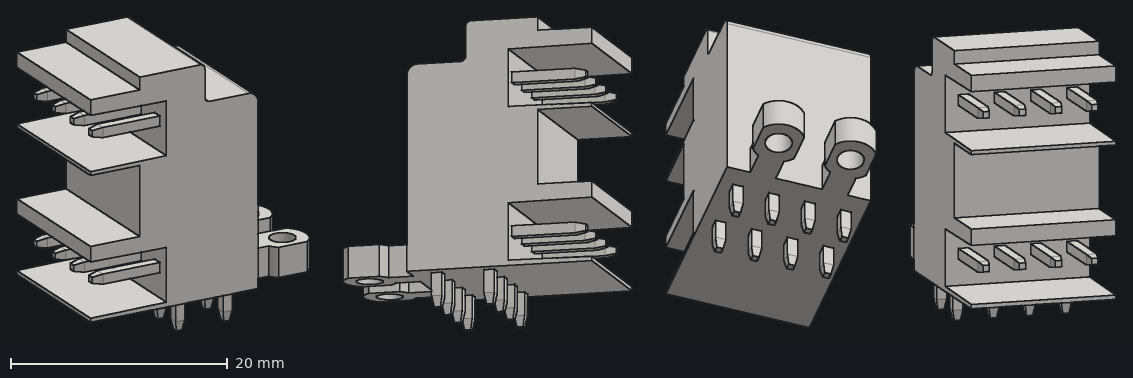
import cadquery as cq


pole_count = 4
pole_pitch = 3.5
tier_pitch = 14.5

housing_width = pole_count * pole_pitch
housing_height = 23.3
back_y = 17.7
upper_back_y = 12.08
ledge_z = 19.5
step_y = 5.2
back_edge_radius = 1.0
step_radius = 0.5

cavity_floor_y = 8.0
lip_top_z = 0.42
roof_bottom_z = 6.0
roof_top_z = 7.53
cavity_draft = 0.08
upper_lip_bottom_z = 14.55

lug_spacing = 2 * pole_pitch
lug_height = 3.02
lug_radius = 2.5
lug_head_width = 4.0
lug_neck_width = 2.5
lug_hole_diameter = 2.5
lug_center_y = 22.2

pin_size = 1.0
pin_tip_size = 0.6
contact_tip_y = 0.98
contact_taper = 1.0
contact_z = 3.5
tail_length = 3.2
tail_taper = 1.05
tail_row_pitch = 5.0
lower_tail_y = 10.18
upper_tail_y = lower_tail_y + tail_row_pitch

pole_positions = [(i - (pole_count - 1) / 2) * pole_pitch for i in range(pole_count)]


def extrude_across(profile, width):
    """Extrude a closed YZ profile to a width centred on X = 0."""
    return profile.extrude(width / 2, both=True)


def make_block():
    """Stepped block with rounded edges along its back."""
    outline = (
        cq.Workplane("YZ")
        .polyline([
            (0, 0),
            (back_y, 0),
            (back_y, ledge_z),
            (upper_back_y, ledge_z),
            (upper_back_y, housing_height),
            (0, housing_height),
        ])
        .close()
    )
    block = extrude_across(outline, housing_width)
    block = block.edges(cq.selectors.NearestToPointSelector((0, back_y, ledge_z))).fillet(back_edge_radius)
    for corner_z in (ledge_z, housing_height):
        corner = cq.selectors.NearestToPointSelector((0, upper_back_y, corner_z))
        block = block.edges(corner).fillet(step_radius)
    return block


def make_front_recess(bottom_z, top_z):
    """Space in front of the set-back face."""
    return cq.Workplane("XY").box(
        housing_width, step_y, top_z - bottom_z, centered=(True, False, False)
    ).translate((0, 0, bottom_z))


def make_cavity(tier_z):
    """Plug cavity, open at both ends, with slightly drafted walls."""
    outline = (
        cq.Workplane("YZ")
        .polyline([
            (0, tier_z + lip_top_z),
            (cavity_floor_y, tier_z + lip_top_z + cavity_draft),
            (cavity_floor_y, tier_z + roof_bottom_z - cavity_draft),
            (0, tier_z + roof_bottom_z),
        ])
        .close()
    )
    return extrude_across(outline, housing_width)


def make_lug(x):
    """Screw lug: a round head with flattened sides on a straight neck."""
    head = cq.Workplane("XY").circle(lug_radius).extrude(lug_height)
    head = head.intersect(cq.Workplane("XY").rect(lug_head_width, 2 * lug_radius).extrude(lug_height))
    neck_length = lug_center_y - back_y
    neck = cq.Workplane("XY").center(0, -neck_length / 2).rect(lug_neck_width, neck_length).extrude(lug_height)
    hole = cq.Workplane("XY").circle(lug_hole_diameter / 2).extrude(lug_height)
    return head.union(neck).cut(hole).translate((x, lug_center_y, 0))


def make_taper(length):
    """Square pin end along +Z, narrowing from the full section to the tip."""
    return (
        cq.Workplane("XY")
        .rect(pin_size, pin_size)
        .workplane(offset=length)
        .rect(pin_tip_size, pin_tip_size)
        .loft(ruled=True)
    )


def make_pin(x, axis_z, tail_y):
    """Right-angle pin: a contact along Y, bent down into a solder tail."""
    contact_start_y = contact_tip_y + contact_taper
    tail_end_z = tail_taper - tail_length
    half = pin_size / 2
    outline = (
        cq.Workplane("YZ")
        .polyline([
            (contact_start_y, axis_z - half),
            (tail_y - half, axis_z - half),
            (tail_y - half, tail_end_z),
            (tail_y + half, tail_end_z),
            (tail_y + half, axis_z + half),
            (contact_start_y, axis_z + half),
        ])
        .close()
    )
    contact_end = make_taper(contact_taper).rotate((0, 0, 0), (1, 0, 0), 90)
    tail_end = make_taper(tail_taper).rotate((0, 0, 0), (1, 0, 0), 180)
    pin = (
        extrude_across(outline, pin_size)
        .union(contact_end.translate((0, contact_start_y, axis_z)))
        .union(tail_end.translate((0, tail_y, tail_end_z)))
    )
    return pin.translate((x, 0, 0))


def make_housing(pins):
    """Block with shrouds and lugs, and a matching passage for every pin."""
    housing = make_block()
    housing = housing.cut(make_front_recess(roof_top_z, upper_lip_bottom_z))
    housing = housing.cut(make_front_recess(tier_pitch + roof_top_z, housing_height))
    for tier_z in (0, tier_pitch):
        housing = housing.cut(make_cavity(tier_z))
    for x in (-lug_spacing / 2, lug_spacing / 2):
        housing = housing.union(make_lug(x))
    for pin in pins:
        housing = housing.cut(pin)
    return housing


lower_pins = [make_pin(x, contact_z, lower_tail_y) for x in pole_positions]
upper_pins = [make_pin(x, contact_z + tier_pitch, upper_tail_y) for x in pole_positions]
pins = lower_pins + upper_pins
housing = make_housing(pins)

result = cq.Compound.makeCompound([housing.val(), *[pin.val() for pin in pins]])